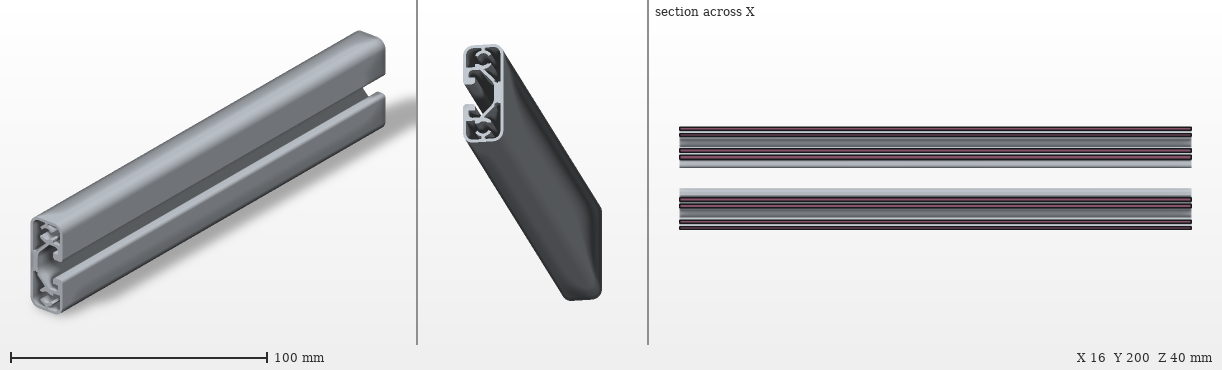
import cadquery as cq
import math

width = 16.0
length = 200.0
height = 40.0
outer_radius = 4.0
wall = 1.2
half_width = width / 2
half_height = height / 2
inner_x = half_width - wall
inner_z = half_height - wall

slot_back_x = -4.5
slot_half_height = 9.8
slot_pocket_x = 5.8
slot_back_radius = 5.0
slot_pocket_radius = 1.5
mouth_half_height = 4.0
lip_x = 3.2
lip_top_z = 6.8
lip_radius = 1.5
slant_offset = 8.5

ledge_z = 4.5
ledge_end_x = -4.5
groove_x = -5.5
groove_depth = 0.5
groove_half_width = 0.5
shelf_z = 11.0
web_thickness = 1.2
web_offset = slant_offset + web_thickness * math.sqrt(2)

channel_z = 14.0
channel_diameter = 5.0
channel_radius = channel_diameter / 2
channel_wall = 1.2
claw_end_angle = 30.0
pad_half_width = 3.2
pad_top_z = 12.2
pad_under_radius = 4.0
pad_under_end_x = -0.8
web_top_x = -0.1
stem_waist_half = 0.5
stem_flare = 0.5


def prism(outline):
    """Extrude a closed XZ outline over the full length."""
    return outline.extrude(length / 2, both=True)


def both_halves(upper):
    """Join an upper feature with its mirror image below the XY plane."""
    return upper.union(upper.mirror("XY"))


def outer_bar():
    bar = cq.Workplane("XY").box(width, length, height)
    return bar.edges("|Y").fillet(outer_radius)


def under_z(x):
    """Height of the rounded pad underside at a given x."""
    return channel_z - math.sqrt(pad_under_radius**2 - x**2)


def upper_chamber():
    """Hollow around the screw channel, bounded below by web, pad and shelf."""
    notch_x = math.sqrt(channel_radius**2 - (channel_z - pad_top_z) ** 2)
    under_mid_x = (pad_under_end_x - pad_half_width) / 2
    outline = (
        cq.Workplane("XZ")
        .moveTo(-inner_x, inner_z)
        .lineTo(-inner_x, ledge_z)
        .lineTo(groove_x - groove_half_width, ledge_z)
        .lineTo(groove_x, ledge_z - groove_depth)
        .lineTo(groove_x + groove_half_width, ledge_z)
        .lineTo(ledge_end_x, ledge_z)
        .lineTo(ledge_end_x, ledge_end_x + web_offset)
        .lineTo(web_top_x, web_top_x + web_offset)
        .lineTo(pad_under_end_x, under_z(pad_under_end_x))
        .threePointArc((under_mid_x, under_z(under_mid_x)), (-pad_half_width, under_z(-pad_half_width)))
        .lineTo(-pad_half_width, pad_top_z)
        .lineTo(-notch_x, pad_top_z)
        .threePointArc((0, channel_z - channel_radius), (notch_x, pad_top_z))
        .lineTo(pad_half_width, pad_top_z)
        .lineTo(pad_half_width, shelf_z)
        .lineTo(inner_x, shelf_z)
        .lineTo(inner_x, inner_z)
        .close()
    )
    chamber = prism(outline)
    top_corners = chamber.faces(">Z").edges("|Y")
    return top_corners.fillet(outer_radius - wall)


def upper_claw():
    """Arched upper half of the screw channel."""
    outer = channel_radius + channel_wall
    cos_end = math.cos(math.radians(claw_end_angle))
    sin_end = math.sin(math.radians(claw_end_angle))
    outline = (
        cq.Workplane("XZ")
        .moveTo(-outer * cos_end, channel_z + outer * sin_end)
        .threePointArc((0, channel_z + outer), (outer * cos_end, channel_z + outer * sin_end))
        .lineTo(channel_radius * cos_end, channel_z + channel_radius * sin_end)
        .threePointArc(
            (0, channel_z + channel_radius),
            (-channel_radius * cos_end, channel_z + channel_radius * sin_end),
        )
        .close()
    )
    return prism(outline)


def upper_stem():
    """Waisted stem that hangs the claw from the end wall."""
    foot_x = stem_waist_half + stem_flare
    crown_z = channel_z + channel_radius + channel_wall
    base_z = channel_z + math.sqrt((channel_radius + channel_wall) ** 2 - foot_x**2)
    waist_z = (inner_z + base_z) / 2
    bottom_z = crown_z - channel_wall / 2
    outline = (
        cq.Workplane("XZ")
        .moveTo(-foot_x, inner_z)
        .threePointArc((-stem_waist_half, waist_z), (-foot_x, base_z))
        .lineTo(0, bottom_z)
        .lineTo(foot_x, base_z)
        .threePointArc((stem_waist_half, waist_z), (foot_x, inner_z))
        .close()
    )
    return prism(outline)


def t_slot():
    flank_low_z = slot_back_x + slant_offset
    flank_high_x = slot_half_height - slant_offset
    upper_points = [
        (slot_back_x, flank_low_z),
        (flank_high_x, slot_half_height),
        (slot_pocket_x, slot_half_height),
        (slot_pocket_x, lip_top_z),
        (lip_x, lip_top_z),
        (lip_x, mouth_half_height),
        (half_width, mouth_half_height),
    ]
    lower_points = [(x, -z) for x, z in reversed(upper_points)]
    slot = prism(cq.Workplane("XZ").polyline(upper_points + lower_points).close())
    slot = slot.faces("<X").edges("|Y").fillet(slot_back_radius)
    for side in (1, -1):
        pocket_corner = (slot_pocket_x, 0, side * slot_half_height)
        slot = slot.edges(cq.NearestToPointSelector(pocket_corner)).fillet(slot_pocket_radius)
    return slot


def round_lips(profile):
    """Round both mouth corners of each slot lip."""
    for side in (1, -1):
        for x in (lip_x, half_width):
            corner = (x, 0, side * mouth_half_height)
            profile = profile.edges(cq.NearestToPointSelector(corner)).fillet(lip_radius)
    return profile


result = outer_bar().cut(both_halves(upper_chamber())).cut(t_slot())
result = result.union(both_halves(upper_claw().union(upper_stem())))
result = round_lips(result)